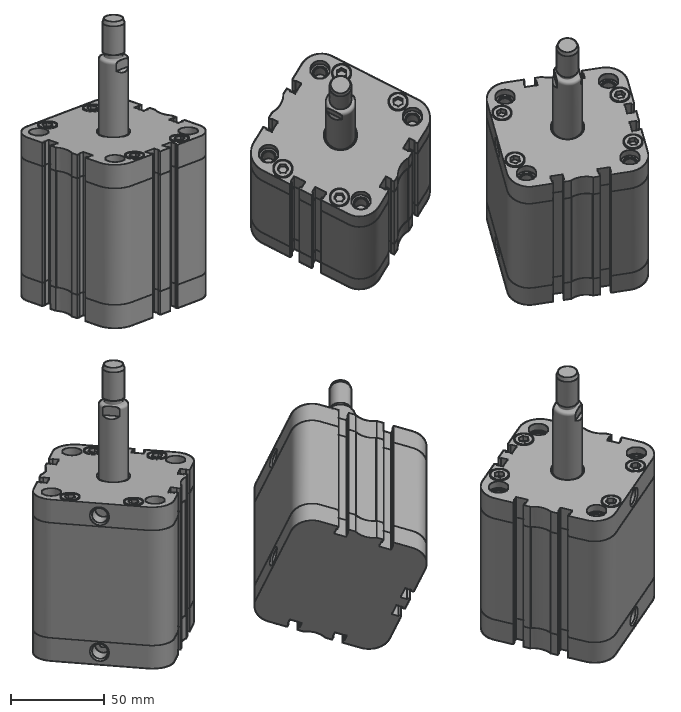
import cadquery as cq
import math

overall_height = 159.0
body_side = 77.0
body_height = 94.0
corner_radius = 12.1
cap_thickness = 13.5
half_side = body_side / 2
barrel_height = body_height - 2 * cap_thickness
upper_cap_base = body_height - cap_thickness

side_slot_offset = 12.9
side_slot_mouth = 5.9
side_slot_width = 6.8
side_slot_depth = 5.4
side_slot_lip = 2.0
end_slot_offset = 6.5
end_slot_mouth = 5.2
end_slot_width = 6.8
end_slot_depth = 5.2
end_slot_lip = 1.6
end_slot_bevel = 0.5
groove_width = 12.1
groove_depth = 1.6
groove_bevel_width = 0.5
groove_bevel_depth = 0.5

mount_offset = 28.3
mount_bore_diameter = 10.5
mount_bore_depth = 4.3
mount_bevel_diameter = 8.0
mount_hole_diameter = 6.7
screw_offset_x = 32.3
screw_offset_y = 17.3
screw_head_diameter = 10.5
screw_head_bevel = 0.5
hex_across_flats = 5.0
hex_depth = 3.0
wiper_recess_diameter = 18.0
wiper_recess_base_diameter = 16.5
wiper_recess_depth = 1.0

port_inset = 7.5
port_diameter = 8.6
port_mouth_diameter = 10.5
port_depth = 9.5
bleed_diameter = 4.0
bleed_offset = 0.8
bleed_depth = 3.2

rod_diameter = 16.0
rod_shoulder_height = 137.0
rod_shoulder_radius = 1.7
stud_diameter = 12.0
stud_tip_diameter = 10.3
stud_tip_length = 2.4
stud_base_height = 139.9
neck_diameter = 9.9
neck_fillet = 0.3
flat_across = 13.0
flat_base_height = 131.7


def turned(shape, angle):
    """Shape turned about the Z axis."""
    return shape.rotate((0, 0, 0), (0, 0, 1), angle)


def slot_cutter(height, mouth, width, depth, lip, bevel=0.0):
    """T-slot open towards -Y with its mouth on the X axis; the +X lip may have a bevelled corner."""
    half_mouth = mouth / 2
    half_width = width / 2
    profile = [
        (-half_mouth, 0),
        (-half_mouth, lip),
        (-half_width, lip),
        (-half_width, depth),
        (half_width, depth),
        (half_width, lip),
        (half_mouth, lip),
    ]
    if bevel > 0:
        profile += [(half_mouth, bevel), (half_mouth + bevel, 0)]
    else:
        profile += [(half_mouth, 0)]
    return cq.Workplane("XY").polyline(profile).close().extrude(height)


def groove_cutter(height, bevel_width, bevel_depth):
    """Shallow groove open towards -Y with its mouth on the X axis: a bevel on each edge, then an arc."""
    half_mouth = groove_width / 2
    half_arc = half_mouth - bevel_width
    outline = cq.Workplane("XY").moveTo(-half_mouth, 0)
    if bevel_width > 0:
        outline = outline.lineTo(-half_arc, bevel_depth)
    outline = outline.threePointArc((0, groove_depth), (half_arc, bevel_depth))
    if bevel_width > 0:
        outline = outline.lineTo(half_mouth, 0)
    return outline.close().extrude(height)


def block(height, bevel_width=0.0, bevel_depth=0.0):
    """Length of the slotted outside profile, standing on Z = 0."""
    body = (
        cq.Workplane("XY")
        .box(body_side, body_side, height, centered=(True, True, False))
        .edges("|Z")
        .fillet(corner_radius)
    )
    groove = groove_cutter(height, bevel_width, bevel_depth).translate((0, -half_side, 0))
    side_slot = slot_cutter(height, side_slot_mouth, side_slot_width, side_slot_depth, side_slot_lip)
    for angle in (0, 180):
        body = body.cut(turned(groove, angle))
        for x in (-side_slot_offset, side_slot_offset):
            body = body.cut(turned(side_slot.translate((x, -half_side, 0)), angle))

    end_slot = slot_cutter(
        height, end_slot_mouth, end_slot_width, end_slot_depth, end_slot_lip, end_slot_bevel
    )
    end_slot = turned(end_slot.translate((end_slot_offset, -half_side, 0)), 90)
    return body.cut(end_slot).cut(end_slot.mirror("XZ"))


def cap_block():
    return block(cap_thickness)


def cut_port(cap, z):
    """Blind port with a chamfered mouth on the -X face."""
    mouth_chamfer = (port_mouth_diameter - port_diameter) / 2
    profile = [
        (0, 0),
        (port_mouth_diameter / 2, 0),
        (port_diameter / 2, mouth_chamfer),
        (port_diameter / 2, port_depth),
        (0, port_depth),
    ]
    cutter = (
        cq.Workplane("XY")
        .polyline(profile)
        .close()
        .revolve(360, (0, 0), (0, 1))
        .rotate((0, 0, 0), (0, 0, 1), -90)
        .translate((-half_side, 0, z))
    )
    return cap.cut(cutter)


def cut_mounting_holes(cap):
    """Counterbored holes through the cap, with a bevel below the counterbore."""
    bevel_base = -mount_bore_depth - (mount_bevel_diameter - mount_hole_diameter) / 2
    profile = [
        (0, 0),
        (mount_bore_diameter / 2, 0),
        (mount_bore_diameter / 2, -mount_bore_depth),
        (mount_bevel_diameter / 2, -mount_bore_depth),
        (mount_hole_diameter / 2, bevel_base),
        (mount_hole_diameter / 2, -cap_thickness),
        (0, -cap_thickness),
    ]
    hole = cq.Workplane("XZ").polyline(profile).close().revolve(360, (0, 0), (0, 1))
    for x in (-mount_offset, mount_offset):
        for y in (-mount_offset, mount_offset):
            cap = cap.cut(hole.translate((x, y, body_height)))
    return cap


def cut_screws(cap):
    """Edge bevel and hexagon socket of each tie screw, whose head is flush with the cap."""
    head_radius = screw_head_diameter / 2
    bevel_profile = [
        (head_radius - screw_head_bevel, 0),
        (head_radius, 0),
        (head_radius, -screw_head_bevel),
    ]
    bevel = cq.Workplane("XZ").polyline(bevel_profile).close().revolve(360, (0, 0), (0, 1))
    hexagon = (
        cq.Workplane("XY")
        .polygon(6, hex_across_flats / math.cos(math.radians(30)))
        .extrude(-hex_depth)
    )
    for x, angle in ((-screw_offset_x, 90), (screw_offset_x, 0)):
        socket = turned(hexagon, angle)
        for y in (-screw_offset_y, screw_offset_y):
            cap = cap.cut(bevel.translate((x, y, body_height)))
            cap = cap.cut(socket.translate((x, y, body_height)))
    return cap


def make_barrel():
    return block(barrel_height, groove_bevel_width, groove_bevel_depth).translate((0, 0, cap_thickness))


def make_lower_cap():
    """Cap with a port and a small bleed hole in the port floor."""
    cap = cut_port(cap_block(), port_inset)
    bleed = (
        cq.Workplane("YZ", origin=(-half_side, 0, port_inset + bleed_offset))
        .circle(bleed_diameter / 2)
        .extrude(port_depth + bleed_depth)
    )
    return cap.cut(bleed)


def make_upper_cap():
    """Cap with the rod hole, a tapered wiper recess, mounting holes and tie screws."""
    cap = cap_block().translate((0, 0, upper_cap_base))
    cap = cut_port(cap, body_height - port_inset)
    cap = cut_mounting_holes(cap)
    cap = cut_screws(cap)
    rod_hole = (
        cq.Workplane("XY", origin=(0, 0, upper_cap_base))
        .circle(rod_diameter / 2)
        .extrude(cap_thickness)
    )
    wiper_recess = (
        cq.Workplane("XY", origin=(0, 0, body_height))
        .circle(wiper_recess_diameter / 2)
        .workplane(offset=-wiper_recess_depth)
        .circle(wiper_recess_base_diameter / 2)
        .loft(combine=True)
    )
    return cap.cut(rod_hole).cut(wiper_recess)


def make_piston_rod():
    """Rod standing on the barrel, with a rounded shoulder, a necked stud and wrench flats."""
    rod_radius = rod_diameter / 2
    neck_radius = neck_diameter / 2
    rod = (
        cq.Workplane("XY", origin=(0, 0, upper_cap_base))
        .circle(rod_radius)
        .extrude(rod_shoulder_height - upper_cap_base)
        .faces(">Z")
        .edges()
        .fillet(rod_shoulder_radius)
    )
    stud_radius = stud_diameter / 2
    stud = (
        cq.Workplane("XZ")
        .moveTo(0, rod_shoulder_height)
        .lineTo(neck_radius + neck_fillet, rod_shoulder_height)
        .radiusArc((neck_radius, rod_shoulder_height + neck_fillet), neck_fillet)
        .lineTo(neck_radius, stud_base_height - neck_fillet)
        .radiusArc((neck_radius + neck_fillet, stud_base_height), neck_fillet)
        .lineTo(stud_radius, stud_base_height)
        .lineTo(stud_radius, overall_height - stud_tip_length)
        .lineTo(stud_tip_diameter / 2, overall_height)
        .lineTo(0, overall_height)
        .close()
        .revolve(360, (0, 0), (0, 1))
    )
    rod = rod.union(stud)

    flat_half = flat_across / 2
    run_out = 2 * (rod_radius - flat_half)
    flat_profile = [
        (flat_half, rod_shoulder_height),
        (flat_half, flat_base_height),
        (flat_half + run_out, flat_base_height - run_out),
        (flat_half + run_out, rod_shoulder_height),
    ]
    flat = cq.Workplane("XZ").polyline(flat_profile).close().extrude(rod_radius, both=True)
    return rod.cut(flat).cut(flat.mirror("YZ"))


barrel = make_barrel()
lower_cap = make_lower_cap()
upper_cap = make_upper_cap()
piston_rod = make_piston_rod()

result = cq.Compound.makeCompound([barrel.val(), lower_cap.val(), upper_cap.val(), piston_rod.val()])